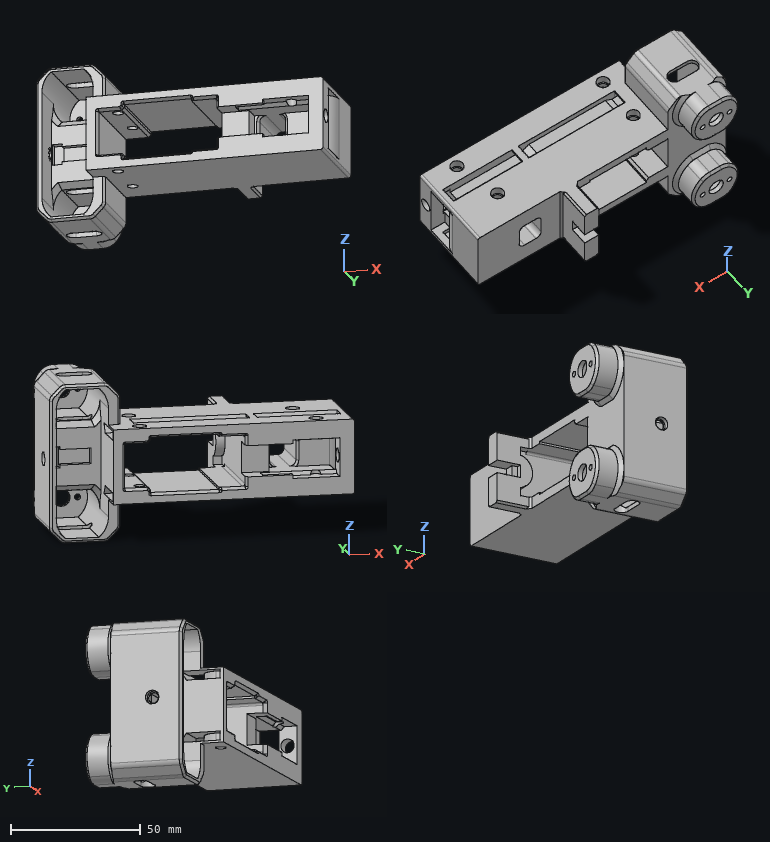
import cadquery as cq
import math

HOUSING_WIDTH = 27.9
HOUSING_HALF_HEIGHT = 31.4
HOUSING_FRONT = 9.4
HOUSING_CORNER = 5.0
HOUSING_CORNER_RADIUS = 3.0
RIM_CHAMFER = 1.0
MOTOR_X = 12.8
MOTOR_Z = 21.5
CAVITY_RADIUS = 10.3
CAVITY_HALF_HEIGHT = 29.5
CAVITY_FLOOR = 22.7
RECESS_INNER_Z = 13.8
RECESS_CHAMFER = 2.4
SHAFT_HOLE = 6.8
MOTOR_SCREW_HOLE = 2.3
MOTOR_SCREW_OFFSET = 6.4

WIRE_SLOT_X = 13.8
WIRE_SLOT_Y = 29.1
WIRE_SLOT_LENGTH = 14.0
WIRE_SLOT_WIDTH = 5.8
T_HEAD_LEFT = 2.8
T_STEM_LEFT = 6.8
T_STEM_RIGHT = 19.1
T_HEAD_HALF = 4.2
T_STEM_HALF = 3.1
T_HEAD_DEPTH = 3.0
T_STEM_DEPTH = 2.4

BOSS_RADIUS = 11.2
BOSS_INNER_Z = 11.2
BOSS_END = 49.6
BOSS_CORNER_RADIUS = 7.1
BOSS_RIM_CHAMFER = 1.1
BOSS_FLARE = 1.7
BOSS_END_WALL = 2.0

LENGTH = 118.8
BODY_LEFT = MOTOR_X + CAVITY_RADIUS
BODY_DEPTH = 38.5
BODY_HALF_HEIGHT = 14.8
BODY_END_RADIUS = 1.0

BAY_LEFT = 27.9
BAY_RIGHT = 75.5
BAY_STEP_LEFT = 38.1
BAY_STEP_RIGHT = 65.2
BAY_HALF_LEFT = 8.8
BAY_HALF_MIDDLE = 10.9
BAY_HALF_RIGHT = 10.1
BAY_STEP_RUN = 1.1
BAY_CORNER_RADIUS = 1.0
BAY_RIM_WIDTH = 1.0
BAY_RIM_DEPTH = 1.5

CHANNEL_HALF_HEIGHT = 6.2
CHANNEL_RIGHT = 112.8
CHANNEL_DEPTH = 15.2
STEP_X = 86.6
STEP_DEPTH = 8.1
POCKET_LEFT = 94.3
UNDERCUT_LEFT = 82.8
LIP_THICKNESS = 2.3
POCKET_HALF_HEIGHT = 7.6
POCKET_DEPTH = 5.2
POCKET_SLOPE_END = POCKET_DEPTH + POCKET_HALF_HEIGHT - CHANNEL_HALF_HEIGHT
MOUTH_START = 112.1
MOUTH_FRONT = 7.5
MOUTH_HALF_HEIGHT = 12.2

VIEW_HOLE_LEFT = 88.5
VIEW_HOLE_RIGHT = 98.9
VIEW_HOLE_RADIUS = 2.5
VIEW_HOLE_CHAMFER = 1.0

TUNNEL_FRONT = 11.0
TUNNEL_REAR = 15.2
TUNNEL_FLOOR_Z = 10.5
TUNNEL_ROOF_Z = 14.0
WINDOW_REAR = 18.0
WINDOW_SPANS = ((33.5, 79.5), (82.5, 115.5))
RIDGE_TOP_Z = 12.1
RIDGE_LEFT = 34.8
RIDGE_RIGHT = 77.5
RIDGE_RAMP = 3.1
STRAP_SLOT_FRONT = 1.4
STRAP_SLOT_DEPTH = 3.7
STRAP_BEND_RADIUS = 6.6

SCREW_HOLE = 4.2
SCREW_HEAD = 5.3
SCREW_HEAD_DEPTH = 3.6
SCREW_FRONT_Y = 5.0
SCREW_REAR_Y = 24.9
THROUGH_SCREW_X = 34.5
BLIND_SCREWS = (
    (99.5, SCREW_REAR_Y, 7.1),
    (104.5, SCREW_FRONT_Y, -POCKET_HALF_HEIGHT),
)
HOUSING_SCREW_Y = 21.5
HOUSING_SCREW_HEAD_DEPTH = 2.1
END_SCREW_Y = 4.0

TAB_LEFT = 71.8
TAB_RIGHT = 78.6
TAB_END = 53.5
TAB_CHAMFER = 0.8
TAB_SLOT_HALF = 2.6
TAB_SLOT_FLOOR = 45.5
TAB_NOTCH_FLOOR = 43.1
TAB_NOTCH_DEPTH = 2.4
TAB_RECESS_FLOOR = 43.0
BUMP_RADIUS = 6.9
BUMP_CENTER_Y = 44.5


def box(x0, x1, y0, y1, z0, z1):
    """Block between two corners."""
    return cq.Workplane("XY").box(x1 - x0, y1 - y0, z1 - z0, centered=False).translate((x0, y0, z0))


def plane_at(y):
    """Plane across the depth axis: local x is X, local y is Z, the normal is -Y."""
    return cq.Workplane("XZ", origin=(0, y, 0))


def side_plane(x):
    """Plane across the length axis: local x is Y, local y is Z, the normal is +X."""
    return cq.Workplane("YZ", origin=(x, 0, 0))


def mirrored(solid):
    """A solid together with its copy below the mid plane."""
    return solid.union(solid.mirror("XY"))


def stepped_hole(x, y, z_end):
    """Screw hole from the top face down to z_end, wider at the top for the screw head."""
    top = cq.Workplane("XY", origin=(x, y, BODY_HALF_HEIGHT))
    hole = top.circle(SCREW_HOLE / 2).extrude(z_end - BODY_HALF_HEIGHT)
    return hole.union(top.circle(SCREW_HEAD / 2).extrude(-SCREW_HEAD_DEPTH))


def housing_block(front, rear):
    """Octagonal prism with softened corners."""
    block = box(0, HOUSING_WIDTH, front, rear, -HOUSING_HALF_HEIGHT, HOUSING_HALF_HEIGHT)
    block = block.edges("|Y").chamfer(HOUSING_CORNER)
    return block.edges("|Y").fillet(HOUSING_CORNER_RADIUS)


def motor_circle(radius, y0, y1, z_low, z_high):
    """Cylinder about the motor axis, cut flat at two heights."""
    disc = plane_at(y0).center(MOTOR_X, MOTOR_Z).circle(radius).extrude(y0 - y1)
    return disc.intersect(box(0, HOUSING_WIDTH, y0, y1, z_low, z_high))


def motor_boss():
    """Flat-sided boss with a chamfered end and a flared root."""
    boss = motor_circle(BOSS_RADIUS, CAVITY_FLOOR, BOSS_END, BOSS_INNER_Z, HOUSING_HALF_HEIGHT)
    boss = boss.edges("|Y").fillet(BOSS_CORNER_RADIUS)
    boss = boss.faces(">Y").chamfer(BOSS_RIM_CHAMFER)
    flare = plane_at(BODY_DEPTH).center(MOTOR_X, MOTOR_Z).circle(BOSS_RADIUS + BOSS_FLARE)
    flare = flare.extrude(-BOSS_FLARE, taper=45)
    flare_low_z = BOSS_INNER_Z - BOSS_FLARE
    limit = side_plane(0).polyline([
        (BODY_DEPTH, flare_low_z), (BODY_DEPTH, HOUSING_HALF_HEIGHT),
        (BODY_DEPTH + BOSS_FLARE, HOUSING_HALF_HEIGHT), (BODY_DEPTH + BOSS_FLARE, BOSS_INNER_Z),
    ]).close().extrude(HOUSING_WIDTH)
    flare = flare.intersect(limit).intersect(housing_block(HOUSING_FRONT, BOSS_END))
    return boss.union(flare)


def motor_cuts():
    """Motor recess with a sloped mouth, shaft hole and two screw holes."""
    recess_end = BOSS_END - BOSS_END_WALL
    recess = motor_circle(CAVITY_RADIUS, CAVITY_FLOOR, recess_end, RECESS_INNER_Z, CAVITY_HALF_HEIGHT)
    mouth = plane_at(CAVITY_FLOOR).center(MOTOR_X, MOTOR_Z).circle(CAVITY_RADIUS + RECESS_CHAMFER)
    mouth = mouth.extrude(-RECESS_CHAMFER, taper=45)
    mouth_limit = side_plane(MOTOR_X - CAVITY_RADIUS).polyline([
        (CAVITY_FLOOR, RECESS_INNER_Z - RECESS_CHAMFER), (CAVITY_FLOOR, MOTOR_Z),
        (CAVITY_FLOOR + RECESS_CHAMFER, MOTOR_Z), (CAVITY_FLOOR + RECESS_CHAMFER, RECESS_INNER_Z),
    ]).close().extrude(2 * CAVITY_RADIUS)
    axis = plane_at(BOSS_END).center(MOTOR_X, MOTOR_Z)
    shaft = axis.circle(SHAFT_HOLE / 2).extrude(BOSS_END_WALL)
    screws = axis.pushPoints([(-MOTOR_SCREW_OFFSET, 0), (MOTOR_SCREW_OFFSET, 0)])
    screws = screws.circle(MOTOR_SCREW_HOLE / 2).extrude(BOSS_END_WALL)
    return recess.union(mouth.intersect(mouth_limit)).union(shaft).union(screws)


def motor_cavity():
    """Room for both motors, open toward -Y, with its rounded ends cut flat."""
    front = plane_at(HOUSING_FRONT).center(MOTOR_X, 0)
    depth = CAVITY_FLOOR - HOUSING_FRONT
    room = front.slot2D(2 * (MOTOR_Z + CAVITY_RADIUS), 2 * CAVITY_RADIUS, 90).extrude(-depth)
    return room.intersect(front.rect(HOUSING_WIDTH, 2 * CAVITY_HALF_HEIGHT).extrude(-depth))


def wire_slot():
    """Round-ended slot through the housing from top to bottom."""
    center = cq.Workplane("XY", origin=(WIRE_SLOT_X, WIRE_SLOT_Y, -HOUSING_HALF_HEIGHT))
    return center.slot2D(WIRE_SLOT_LENGTH, WIRE_SLOT_WIDTH).extrude(2 * HOUSING_HALF_HEIGHT)


def cavity_floor_pocket():
    """Shallow T-shaped pocket in the middle of the cavity floor."""
    front = CAVITY_FLOOR
    head = box(T_HEAD_LEFT, T_STEM_LEFT, front, front + T_HEAD_DEPTH, -T_HEAD_HALF, T_HEAD_HALF)
    stem = box(T_STEM_LEFT, T_STEM_RIGHT, front, front + T_STEM_DEPTH, -T_STEM_HALF, T_STEM_HALF)
    return head.union(stem)


def housing_screw_hole():
    """Stepped hole through the -X wall of the housing."""
    start = side_plane(0).center(HOUSING_SCREW_Y, 0)
    hole = start.circle(SCREW_HOLE / 2).extrude(MOTOR_X - CAVITY_RADIUS)
    return hole.union(start.circle(SCREW_HEAD / 2).extrude(HOUSING_SCREW_HEAD_DEPTH))


def body_block():
    """Solid frame with rounded edges at the +X end."""
    block = box(BODY_LEFT, LENGTH, 0, BODY_DEPTH, -BODY_HALF_HEIGHT, BODY_HALF_HEIGHT)
    return block.edges(">X and |Y").fillet(BODY_END_RADIUS)


def tab_block():
    """Tab on the rear of the body with chamfered edges and root."""
    low_y = BODY_DEPTH - TAB_CHAMFER
    root_y = BODY_DEPTH + 2 * TAB_CHAMFER
    tab = box(TAB_LEFT, TAB_RIGHT, low_y, TAB_END, -BODY_HALF_HEIGHT, BODY_HALF_HEIGHT)
    tab = tab.edges("|Y").chamfer(TAB_CHAMFER)
    root = cq.Workplane("XY", origin=(0, 0, -BODY_HALF_HEIGHT)).polyline([
        (TAB_LEFT - TAB_CHAMFER, BODY_DEPTH), (TAB_RIGHT + TAB_CHAMFER, BODY_DEPTH),
        (TAB_RIGHT - TAB_CHAMFER, root_y), (TAB_LEFT + TAB_CHAMFER, root_y),
    ]).close().extrude(2 * BODY_HALF_HEIGHT)
    return tab.union(root)


def tab_cuts():
    """Fork slot in the end of the tab, with a deeper notch on its -X side."""
    slot = box(TAB_LEFT, TAB_RIGHT, TAB_SLOT_FLOOR, TAB_END, -TAB_SLOT_HALF, TAB_SLOT_HALF)
    notch_right = TAB_LEFT + TAB_NOTCH_DEPTH
    notch = box(TAB_LEFT, notch_right, TAB_NOTCH_FLOOR, TAB_SLOT_FLOOR, -TAB_SLOT_HALF, TAB_SLOT_HALF)
    return slot.union(notch)


def bay_cut():
    """Stepped opening with a chamfered front rim, running on into the tab around a round bump."""
    upper = [
        (BAY_LEFT, BAY_HALF_LEFT), (BAY_STEP_LEFT - BAY_STEP_RUN, BAY_HALF_LEFT),
        (BAY_STEP_LEFT, BAY_HALF_LEFT + BAY_STEP_RUN), (BAY_STEP_LEFT, BAY_HALF_MIDDLE),
        (BAY_STEP_RIGHT, BAY_HALF_MIDDLE), (BAY_STEP_RIGHT, BAY_HALF_RIGHT),
        (BAY_RIGHT, BAY_HALF_RIGHT),
    ]
    lower = [(x, -z) for x, z in reversed(upper)]
    outline = plane_at(0).polyline(upper + lower).close()
    bay = outline.extrude(-BODY_DEPTH).edges(">X and |Y").fillet(BAY_CORNER_RADIUS)
    rim = plane_at(0).polyline(upper + lower).close().offset2D(BAY_RIM_WIDTH)
    rim_angle = math.degrees(math.atan2(BAY_RIM_WIDTH, BAY_RIM_DEPTH))
    bay = bay.union(rim.extrude(-BAY_RIM_DEPTH, taper=rim_angle))
    recess_left = TAB_LEFT - TAB_CHAMFER
    recess = box(recess_left, BAY_RIGHT, BODY_DEPTH, TAB_RECESS_FLOOR, -BAY_HALF_RIGHT, BAY_HALF_RIGHT)
    bump = side_plane(TAB_LEFT).center(BUMP_CENTER_Y, 0).circle(BUMP_RADIUS)
    bump = bump.extrude(BAY_RIGHT - TAB_LEFT)
    return bay.union(recess).cut(bump)


def channel_cut():
    """Cable channel, shallow near the bay, with a wider pocket that undercuts a front lip."""
    half = CHANNEL_HALF_HEIGHT
    shallow = box(BAY_RIGHT, STEP_X, 0, STEP_DEPTH, -half, half)
    deep = box(STEP_X, CHANNEL_RIGHT, 0, CHANNEL_DEPTH, -half, half)
    pocket = pocket_solid(POCKET_LEFT, 0)
    undercut = pocket_solid(UNDERCUT_LEFT, LIP_THICKNESS)
    return shallow.union(deep).union(pocket).union(undercut)


def pocket_solid(left, front):
    """Widened part of the channel that tapers to the channel height at its rear."""
    half = CHANNEL_HALF_HEIGHT
    wide = POCKET_HALF_HEIGHT
    return side_plane(left).polyline([
        (front, -wide), (POCKET_DEPTH, -wide), (POCKET_SLOPE_END, -half),
        (POCKET_SLOPE_END, half), (POCKET_DEPTH, wide), (front, wide),
    ]).close().extrude(CHANNEL_RIGHT - left)


def view_hole():
    """Rounded hole from the channel floor through the rear, beveled where it leaves the channel."""
    width = VIEW_HOLE_RIGHT - VIEW_HOLE_LEFT
    height = 2 * CHANNEL_HALF_HEIGHT
    bevel = VIEW_HOLE_CHAMFER
    floor = plane_at(CHANNEL_DEPTH).center((VIEW_HOLE_LEFT + VIEW_HOLE_RIGHT) / 2, 0)
    hole = floor.rect(width, height).extrude(CHANNEL_DEPTH - BODY_DEPTH)
    hole = hole.edges("|Y").fillet(VIEW_HOLE_RADIUS)
    rim = floor.rect(width, height).extrude(-bevel).edges("|Y").fillet(VIEW_HOLE_RADIUS)
    rim = rim.faces("<Y").wires().toPending().workplane().offset2D(bevel)
    rim = rim.extrude(-bevel, taper=45, combine=False)
    return hole.union(rim.intersect(floor.rect(2 * width, height).extrude(-bevel)))


def channel_mouth():
    """Opening of the channel and the tunnels in the +X face, flared toward the rear."""
    radius = LENGTH - MOUTH_START
    return (
        cq.Workplane("XY", origin=(0, 0, -MOUTH_HALF_HEIGHT))
        .moveTo(MOUTH_START, MOUTH_FRONT)
        .lineTo(LENGTH, MOUTH_FRONT)
        .lineTo(LENGTH, TUNNEL_REAR + radius)
        .radiusArc((MOUTH_START, TUNNEL_REAR), radius)
        .close().extrude(2 * MOUTH_HALF_HEIGHT)
    )


def tunnel_solid(x0, x1, roof_z):
    """Length of tunnel with a vertical front side and a sloping rear side."""
    slope = (WINDOW_REAR - TUNNEL_REAR) / (BODY_HALF_HEIGHT - TUNNEL_FLOOR_Z)
    roof_rear = TUNNEL_REAR + slope * (roof_z - TUNNEL_FLOOR_Z)
    return side_plane(x0).polyline([
        (TUNNEL_FRONT, TUNNEL_FLOOR_Z), (TUNNEL_REAR, TUNNEL_FLOOR_Z),
        (roof_rear, roof_z), (TUNNEL_FRONT, roof_z),
    ]).close().extrude(x1 - x0)


def strap_tunnel():
    """Tunnel along the body, rising over a ramped ridge above the battery bay."""
    tunnel_end = WINDOW_SPANS[-1][1]
    tunnel = tunnel_solid(BODY_LEFT, tunnel_end, TUNNEL_ROOF_Z)
    return tunnel.cut(tunnel_ridge())


def tunnel_ridge():
    """Raised part of the tunnel floor with a ramp at each end."""
    return plane_at(TUNNEL_FRONT).polyline([
        (RIDGE_LEFT, TUNNEL_FLOOR_Z), (RIDGE_LEFT + RIDGE_RAMP, RIDGE_TOP_Z),
        (RIDGE_RIGHT - RIDGE_RAMP, RIDGE_TOP_Z), (RIDGE_RIGHT, TUNNEL_FLOOR_Z),
    ]).close().extrude(TUNNEL_FRONT - WINDOW_REAR)


def strap_slot():
    """Slot in the -X face that bends around a rounded bar into the tunnel."""
    bar_x = BODY_LEFT + STRAP_SLOT_DEPTH
    bend_start_y = TUNNEL_FRONT - STRAP_BEND_RADIUS
    return (
        cq.Workplane("XY", origin=(0, 0, TUNNEL_FLOOR_Z))
        .moveTo(BODY_LEFT, STRAP_SLOT_FRONT)
        .lineTo(bar_x, STRAP_SLOT_FRONT)
        .lineTo(bar_x, bend_start_y)
        .radiusArc((bar_x + STRAP_BEND_RADIUS, TUNNEL_FRONT), STRAP_BEND_RADIUS)
        .lineTo(BODY_LEFT, TUNNEL_FRONT)
        .close().extrude(TUNNEL_ROOF_Z - TUNNEL_FLOOR_Z)
    )


def end_screw_hole():
    """Plain hole through the +X wall into the channel."""
    start = side_plane(CHANNEL_RIGHT).center(END_SCREW_Y, 0)
    return start.circle(SCREW_HEAD / 2).extrude(LENGTH - CHANNEL_RIGHT)


result = housing_block(HOUSING_FRONT, BODY_DEPTH).faces("<Y").chamfer(RIM_CHAMFER)
result = result.union(mirrored(motor_boss())).union(body_block()).union(tab_block())

result = result.cut(motor_cavity()).cut(mirrored(motor_cuts()))
result = result.cut(wire_slot()).cut(cavity_floor_pocket()).cut(housing_screw_hole())
result = result.cut(bay_cut()).cut(channel_cut()).cut(view_hole()).cut(channel_mouth())
result = result.cut(tab_cuts()).cut(end_screw_hole())
result = result.cut(mirrored(strap_slot())).cut(mirrored(strap_tunnel()))
for left, right in WINDOW_SPANS:
    result = result.cut(tunnel_solid(left, right, BODY_HALF_HEIGHT).cut(tunnel_ridge()))
for y in (SCREW_FRONT_Y, SCREW_REAR_Y):
    result = result.cut(stepped_hole(THROUGH_SCREW_X, y, -BODY_HALF_HEIGHT))
for x, y, z_end in BLIND_SCREWS:
    result = result.cut(stepped_hole(x, y, z_end))